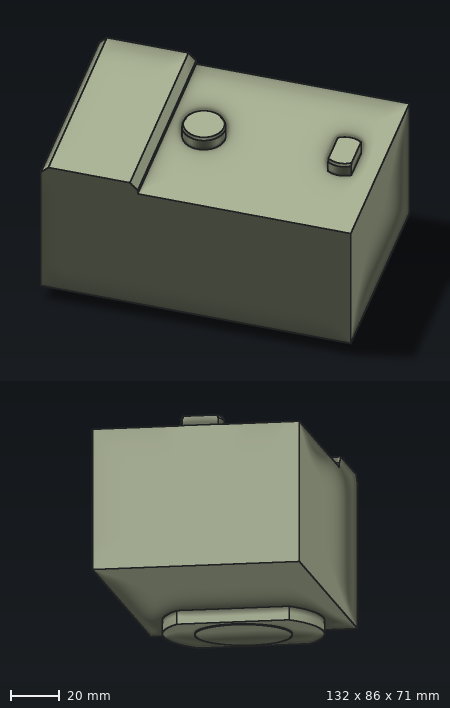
import cadquery as cq

length = 132.0
width = 86.0
deck_height = 58.7
raised_length = 41.3
raised_height = 63.9
raised_chamfer = 3.3

pin_diameter = 18.0
pin_height = 6.2
pin_lead_in = 0.5
pin_lead_in_height = 1.3
round_pin_x = 57.0
pin_spacing = 59.9
flat_pin_thickness = 9.9

flange_x = 24.2
flange_diameter = 66.4
flange_across_flats = 47.3
flange_thickness = 5.7
boss_diameter = 40.0
boss_thickness = 0.4


def make_block():
    """Block with a raised, chamfered step along its -X end."""
    return (
        cq.Workplane("XZ")
        .moveTo(0, 0)
        .lineTo(length, 0)
        .lineTo(length, deck_height)
        .lineTo(raised_length, deck_height)
        .lineTo(raised_length, raised_height - raised_chamfer)
        .lineTo(raised_length - raised_chamfer, raised_height)
        .lineTo(raised_chamfer, raised_height)
        .lineTo(0, raised_height - raised_chamfer)
        .close()
        .extrude(width / 2, both=True)
    )


def cut_flats(body, across_flats, diameter, height):
    """Trim a round body standing on Z = 0 to flats facing -X and +X."""
    slab = cq.Workplane("XY").rect(across_flats, diameter).extrude(height)
    return body.intersect(slab)


def make_round_pin():
    """Pin standing on Z = 0, with a steep lead-in chamfer at its tip."""
    radius = pin_diameter / 2
    return (
        cq.Workplane("XZ")
        .moveTo(0, 0)
        .lineTo(radius, 0)
        .lineTo(radius, pin_height - pin_lead_in_height)
        .lineTo(radius - pin_lead_in, pin_height)
        .lineTo(0, pin_height)
        .close()
        .revolve(360, (0, 0, 0), (0, 1, 0))
    )


round_pin = make_round_pin().translate((round_pin_x, 0, deck_height))
flat_pin = cut_flats(make_round_pin(), flat_pin_thickness, pin_diameter, pin_height)
flat_pin = flat_pin.translate((round_pin_x + pin_spacing, 0, deck_height))

disc = cq.Workplane("XY").circle(flange_diameter / 2).extrude(flange_thickness)
flange = cut_flats(disc, flange_across_flats, flange_diameter, flange_thickness)
flange = flange.translate((flange_x, 0, -flange_thickness))

boss = (
    cq.Workplane("XY")
    .workplane(offset=-flange_thickness)
    .center(flange_x, 0)
    .circle(boss_diameter / 2)
    .extrude(-boss_thickness)
)

result = make_block().union(round_pin).union(flat_pin).union(flange).union(boss)